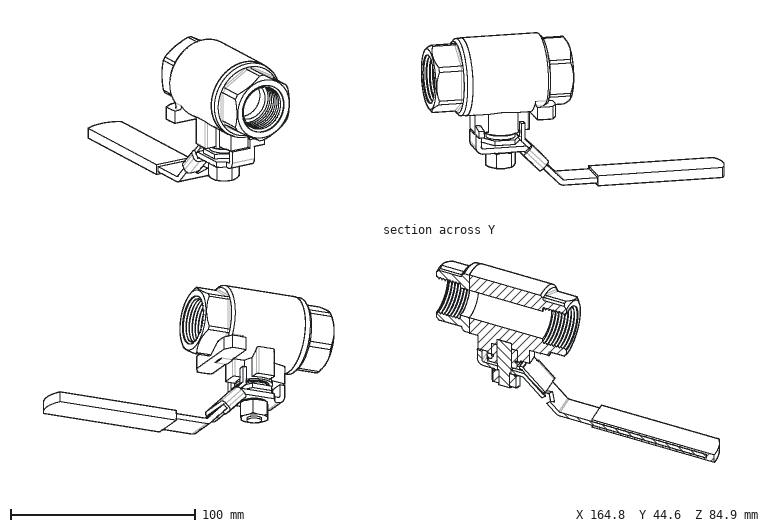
import cadquery as cq
import math


bore_d = 20.0
barrel_r = 21.3
barrel_chamfer = 1.5
cap_rim_r = 21.1
housing_left_x = -36.9
housing_shoulder_x = -23.0
joint_x = 20.7
cap_shoulder_x = 25.2
cap_right_x = 40.25

hex_flats = 33.7
housing_hex_corner_r = 18.9
cap_hex_corner_r = 18.7
hex_end_r = 16.5
hex_end_chamfer = 1.8
hex_root_fillet = 0.8
selection_margin = 0.1

thread_minor_r = 23.8 / 2
thread_major_r = 26.4 / 2
thread_pitch = 1.814
thread_turns = 8
thread_relief = 0.6

flange_left_x = -26.5
flange_right_x = -15.2
flange_top_z = -13.8
flange_bottom_z = -20.9
flange_fillet = 1.5
flange_half_width = 22.3
flange_front_half_width = 17.2
flange_shoulder_x = -23.7
flange_crest_x = -20.8
flange_shoulder_half_width = 22.15
flange_rear_half_width = 21.8

neck_r = 10.0
neck_bottom_z = -31.7
post_bottom_z = -30.6
post_root_z = -bore_d / 2 - 2.0
post_half_width = 5.3
post_edge_fillet = 1.0
post_reach = 15.0
wedge_reach = 15.8
wedge_root_x = 6.8
wedge_root_half_width = 7.3
wedge_tip_half_width = 5.6

gland_r = 15.9 / 2
gland_groove_r = 14.0 / 2
gland_groove_height = 1.0
gland_inner_z = -24.0
gland_hex_top_z = -34.7
gland_hex_bottom_z = -37.3
gland_hex_corners = 22.5
stem_r = 9.5 / 2
stem_thread_r = 8.0 / 2
stem_inner_z = -20.0
stem_end_z = -52.3
nut_bottom_z = -51.1
nut_collar_r = 13.0 / 2
nut_collar_height = 0.9
nut_corners = 16.7
nut_chamfer_r_loss = 0.9
nut_chamfer_height = 0.5

lever_thickness = 3.0
lever_width = 19.0
plate_top_z = -38.7
plate_bottom_z = plate_top_z - lever_thickness
slope_start_x = -12.2
handle_top_z = -59.2
handle_bottom_z = handle_top_z - lever_thickness
slope_end_x = slope_start_x - (plate_top_z - handle_top_z)
handle_end_x = -120.0
lever_bend_r = 1.0
tab_right_x = 16.1
tab_top_z = -26.2
tab_low_top_z = -31.2
tab_bend_r = 1.0
tab_side_inset = 4.7
tab_taper_start_x = 7.5
tab_taper_end_x = 10.2
tab_finger_inner_y = 6.6
arm_end_y = 16.0
arm_tip_top_z = -27.0
arm_bottom_z = -30.7
lever_hole_side = 6.0
lever_hole_z = -52.2

grip_thickness = 5.7
grip_width = 21.2
grip_right_x = -51.9
grip_left_x = -124.59
grip_end_sagitta = 2.9

slide_sheet = 2.1
slide_wall = 2.5
slide_tip_z = -25.8
slide_tip_left_x = -11.3
slide_slot_width = 11.2
slide_slot_bottom_z = -34.2
sleeve_start = 1.8
sleeve_length = 13.4
sleeve_gap_width = 8.0


def cylinder_x(radius, x0, x1):
    return cq.Workplane("YZ", origin=(x0, 0, 0)).circle(radius).extrude(x1 - x0)


def cylinder_z(radius, z0, z1):
    return cq.Workplane("XY", origin=(0, 0, z0)).circle(radius).extrude(z1 - z0)


def box_between(x0, x1, y0, y1, z0, z1):
    return cq.Workplane("XY").box(x1 - x0, y1 - y0, z1 - z0, centered=False).translate((x0, y0, z0))


def hex_end(shoulder_x, end_x, corner_r):
    """Hexagon around X, corners up and down, turned down to a circle and coned at its free end."""
    outward = math.copysign(1, end_x - shoulder_x)
    prism = (
        cq.Workplane("YZ", origin=(shoulder_x, 0, 0))
        .polygon(6, hex_flats / math.cos(math.pi / 6))
        .extrude(end_x - shoulder_x)
        .rotate((0, 0, 0), (1, 0, 0), 90)
    )
    turned = (
        cq.Workplane("XY")
        .moveTo(shoulder_x, 0)
        .lineTo(shoulder_x, corner_r)
        .lineTo(end_x - outward * hex_end_chamfer, corner_r)
        .lineTo(end_x, hex_end_r)
        .lineTo(end_x, 0)
        .close()
        .revolve(360, (0, 0, 0), (1, 0, 0))
    )
    return prism.intersect(turned)


def fillet_hex_root(solid, shoulder_x, corner_r):
    """Round the inner corner where the hexagon leaves the barrel shoulder."""
    reach = corner_r + selection_margin
    root = cq.selectors.BoxSelector(
        (shoulder_x - selection_margin, -reach, -reach),
        (shoulder_x + selection_margin, reach, reach),
        boundingbox=True,
    )
    return solid.edges(root).fillet(hex_root_fillet)


def threaded_mouth(end_x, inward):
    """Cutter for the pipe thread: V-shaped rings with an entry cone at the end face."""
    profile = [(end_x, 0), (end_x, thread_major_r)]
    for turn in range(thread_turns):
        root_x = end_x + inward * (thread_relief + turn * thread_pitch)
        crest_x = root_x + inward * thread_pitch / 2
        profile.append((root_x, thread_major_r))
        profile.append((crest_x, thread_minor_r))
    profile.append((crest_x, 0))
    return cq.Workplane("XY").polyline(profile).close().revolve(360, (0, 0, 0), (1, 0, 0))


def make_flange():
    """Plate with a flat left edge, slanted corners and slightly bowed sides."""
    return (
        cq.Workplane("XY", origin=(0, 0, flange_bottom_z))
        .moveTo(flange_left_x, flange_front_half_width)
        .lineTo(flange_shoulder_x, flange_shoulder_half_width)
        .threePointArc((flange_crest_x, flange_half_width), (flange_right_x, flange_rear_half_width))
        .lineTo(flange_right_x, -flange_rear_half_width)
        .threePointArc(
            (flange_crest_x, -flange_half_width), (flange_shoulder_x, -flange_shoulder_half_width)
        )
        .lineTo(flange_left_x, -flange_front_half_width)
        .close()
        .extrude(flange_top_z - flange_bottom_z)
    )


def fillet_flange_root(solid):
    """Round the two straight corners between the flange top and the barrel."""
    middle_x = (flange_right_x + housing_shoulder_x + barrel_chamfer) / 2
    root_y = math.sqrt(barrel_r**2 - flange_top_z**2)
    for side in (1, -1):
        root = cq.selectors.NearestToPointSelector((middle_x, side * root_y, flange_top_z))
        solid = solid.edges("|X").edges(root).fillet(flange_fillet)
    return solid


def make_posts():
    """Posts toward -X and -Y, and a wedge-shaped one toward +X."""
    post = box_between(0, post_reach, -post_half_width, post_half_width, post_bottom_z, post_root_z)
    post = post.edges("|Z and >X").fillet(post_edge_fillet)
    left_post = post.rotate((0, 0, 0), (0, 0, 1), 180)
    front_post = post.rotate((0, 0, 0), (0, 0, 1), -90)
    wedge = (
        cq.Workplane("XY", origin=(0, 0, post_bottom_z))
        .polyline(
            [
                (0, -wedge_root_half_width),
                (wedge_root_x, -wedge_root_half_width),
                (wedge_reach, -wedge_tip_half_width),
                (wedge_reach, wedge_tip_half_width),
                (0, wedge_tip_half_width),
            ]
        )
        .close()
        .extrude(post_root_z - post_bottom_z)
    )
    return left_post.union(front_post).union(wedge)


def make_housing():
    barrel = cylinder_x(barrel_r, housing_shoulder_x, joint_x).faces("<X").chamfer(barrel_chamfer)
    solid = barrel.union(hex_end(housing_shoulder_x, housing_left_x, housing_hex_corner_r))
    solid = fillet_hex_root(solid, housing_shoulder_x, housing_hex_corner_r)
    solid = fillet_flange_root(solid.union(make_flange()))
    solid = solid.union(make_posts())
    solid = solid.union(cylinder_z(neck_r, neck_bottom_z, post_root_z))
    solid = solid.cut(cylinder_x(bore_d / 2, housing_left_x, joint_x))
    solid = solid.cut(threaded_mouth(housing_left_x, 1))
    solid = solid.cut(cylinder_z(gland_r, neck_bottom_z, gland_inner_z))
    return solid.cut(cylinder_z(stem_r, gland_inner_z, stem_inner_z))


def make_end_cap():
    rim = cylinder_x(cap_rim_r, joint_x, cap_shoulder_x).faces(">X").chamfer(barrel_chamfer)
    solid = rim.union(hex_end(cap_shoulder_x, cap_right_x, cap_hex_corner_r))
    solid = fillet_hex_root(solid, cap_shoulder_x, cap_hex_corner_r)
    solid = solid.cut(cylinder_x(bore_d / 2, joint_x, cap_right_x))
    return solid.cut(threaded_mouth(cap_right_x, -1))


def make_gland_nut(slide):
    hexagon = (
        cq.Workplane("XY", origin=(0, 0, gland_hex_bottom_z))
        .polygon(6, gland_hex_corners)
        .extrude(gland_hex_top_z - gland_hex_bottom_z)
    )
    solid = hexagon.union(cylinder_z(gland_r, gland_hex_top_z, gland_inner_z))
    groove_bottom_z = neck_bottom_z - gland_groove_height
    groove = cylinder_z(gland_r, groove_bottom_z, neck_bottom_z).cut(
        cylinder_z(gland_groove_r, groove_bottom_z, neck_bottom_z)
    )
    solid = solid.cut(groove).cut(cylinder_z(stem_r, gland_hex_bottom_z, gland_inner_z))
    return solid.cut(slide)


def make_stem():
    return cylinder_z(stem_r, plate_bottom_z, stem_inner_z).union(
        cylinder_z(stem_thread_r, stem_end_z, plate_bottom_z)
    )


def make_lever_nut():
    hex_top_z = plate_bottom_z - nut_collar_height
    hexagon = (
        cq.Workplane("XY", origin=(0, 0, nut_bottom_z))
        .polygon(6, nut_corners)
        .extrude(hex_top_z - nut_bottom_z)
    )
    turned = (
        cylinder_z(nut_corners / 2, nut_bottom_z, hex_top_z)
        .faces("<Z or >Z")
        .chamfer(nut_chamfer_height, nut_chamfer_r_loss)
    )
    solid = hexagon.intersect(turned).union(cylinder_z(nut_collar_r, hex_top_z, plate_bottom_z))
    return solid.cut(cylinder_z(stem_thread_r, nut_bottom_z, plate_bottom_z))


def make_lever():
    bend_shift = lever_thickness * math.tan(math.pi / 8)
    tab_left_x = tab_right_x - lever_thickness
    strip = (
        cq.Workplane("XZ")
        .polyline(
            [
                (handle_end_x, handle_bottom_z),
                (slope_end_x + bend_shift, handle_bottom_z),
                (slope_start_x + bend_shift, plate_bottom_z),
                (tab_right_x, plate_bottom_z),
                (tab_right_x, tab_top_z),
                (tab_left_x, tab_top_z),
                (tab_left_x, plate_top_z),
                (slope_start_x, plate_top_z),
                (slope_end_x, handle_top_z),
                (handle_end_x, handle_top_z),
            ]
        )
        .close()
        .extrude(lever_width / 2, both=True)
    )

    def round_bend(solid, x, z, radius):
        near = cq.selectors.BoxSelector(
            (x - selection_margin, -lever_width, z - selection_margin),
            (x + selection_margin, lever_width, z + selection_margin),
        )
        return solid.edges(near).fillet(radius)

    strip = round_bend(strip, tab_left_x, plate_top_z, tab_bend_r)
    strip = round_bend(strip, tab_right_x, plate_bottom_z, tab_bend_r + lever_thickness)
    strip = round_bend(strip, slope_end_x, handle_top_z, lever_bend_r)
    strip = round_bend(strip, slope_end_x + bend_shift, handle_bottom_z, lever_bend_r + lever_thickness)

    side_y = -lever_width / 2
    corner = (
        cq.Workplane("XY", origin=(0, 0, plate_bottom_z))
        .polyline(
            [
                (tab_taper_start_x, side_y),
                (tab_taper_end_x, side_y + tab_side_inset),
                (tab_right_x, side_y + tab_side_inset),
                (tab_right_x, side_y),
            ]
        )
        .close()
        .extrude(tab_top_z - plate_bottom_z)
    )
    strip = strip.cut(corner)

    strip = strip.cut(
        box_between(tab_left_x, tab_right_x, side_y, tab_finger_inner_y, tab_low_top_z, tab_top_z)
    )

    arm = (
        cq.Workplane("YZ", origin=(tab_left_x, 0, 0))
        .polyline(
            [
                (tab_finger_inner_y, arm_bottom_z),
                (arm_end_y, arm_bottom_z),
                (arm_end_y, arm_tip_top_z),
                (lever_width / 2, tab_top_z),
                (tab_finger_inner_y, tab_top_z),
            ]
        )
        .close()
        .extrude(lever_thickness)
    )

    hole_x = slope_start_x - (plate_top_z - lever_hole_z)
    slope_face = cq.Plane(origin=(hole_x, 0, lever_hole_z), xDir=(0, 1, 0), normal=(1, 0, -1))
    hole = (
        cq.Workplane(slope_face)
        .transformed(rotate=(0, 0, 45))
        .rect(lever_hole_side, lever_hole_side)
        .extrude(lever_thickness)
    )
    return strip.union(arm).cut(hole).cut(cylinder_z(stem_r, plate_bottom_z, plate_top_z))


def make_grip(lever):
    bottom_z = (handle_top_z + handle_bottom_z - grip_thickness) / 2
    half_width = grip_width / 2
    corner_x = grip_left_x + grip_end_sagitta
    solid = (
        cq.Workplane("XY", origin=(0, 0, bottom_z))
        .moveTo(grip_right_x, -half_width)
        .lineTo(grip_right_x, half_width)
        .lineTo(corner_x, half_width)
        .threePointArc((grip_left_x, 0), (corner_x, -half_width))
        .close()
        .extrude(grip_thickness)
    )
    return solid.cut(lever)


def make_slide():
    """Sheet lying on the slope of the lever, forked at its top, with a sleeve around the lever."""
    down_slope = (-1, 0, -1)
    top_of_slope = cq.Plane(origin=(slope_start_x, 0, plate_top_z), xDir=(0, 1, 0), normal=down_slope)
    slope_offset = slope_start_x - plate_top_z
    outer_offset = slope_offset - slide_sheet * math.sqrt(2)
    tip_right_x = slide_tip_left_x + slide_sheet
    end_distance = (sleeve_start + sleeve_length) / math.sqrt(2)
    sheet_shift = slide_sheet / math.sqrt(2)
    end_x = slope_start_x - end_distance
    end_z = plate_top_z - end_distance
    sheet = (
        cq.Workplane("XZ")
        .polyline(
            [
                (end_x, end_z),
                (tip_right_x, tip_right_x - slope_offset),
                (tip_right_x, slide_tip_z),
                (slide_tip_left_x, slide_tip_z),
                (slide_tip_left_x, slide_tip_left_x - outer_offset),
                (end_x - sheet_shift, end_z + sheet_shift),
            ]
        )
        .close()
        .extrude(lever_width / 2, both=True)
    )
    half_slot = slide_slot_width / 2
    slot = box_between(
        slide_tip_left_x, tip_right_x, -half_slot, half_slot, slide_slot_bottom_z, slide_tip_z
    )

    def sleeve_bar(width, depth, depth_center):
        """Bar along the slope, as long as the sleeve, centred at a depth below the lever's upper face."""
        return (
            cq.Workplane(top_of_slope)
            .workplane(offset=sleeve_start)
            .center(0, depth_center)
            .rect(width, depth)
            .extrude(sleeve_length)
        )

    sleeve = sleeve_bar(lever_width + 2 * slide_wall, lever_thickness + 2 * slide_sheet, lever_thickness / 2)
    sleeve = sleeve.edges("|(1,0,1)").fillet(slide_wall)
    passage = sleeve_bar(lever_width, lever_thickness, lever_thickness / 2)
    gap = sleeve_bar(sleeve_gap_width, slide_sheet, lever_thickness + slide_sheet / 2)
    return sheet.cut(slot).union(sleeve).cut(passage).cut(gap)


housing = make_housing()
end_cap = make_end_cap()
stem = make_stem()
lever_nut = make_lever_nut()
lever = make_lever()
grip = make_grip(lever)
slide = make_slide()
gland_nut = make_gland_nut(slide)

result = cq.Compound.makeCompound(
    [
        housing.val(),
        end_cap.val(),
        gland_nut.val(),
        stem.val(),
        lever_nut.val(),
        lever.val(),
        grip.val(),
        slide.val(),
    ]
)